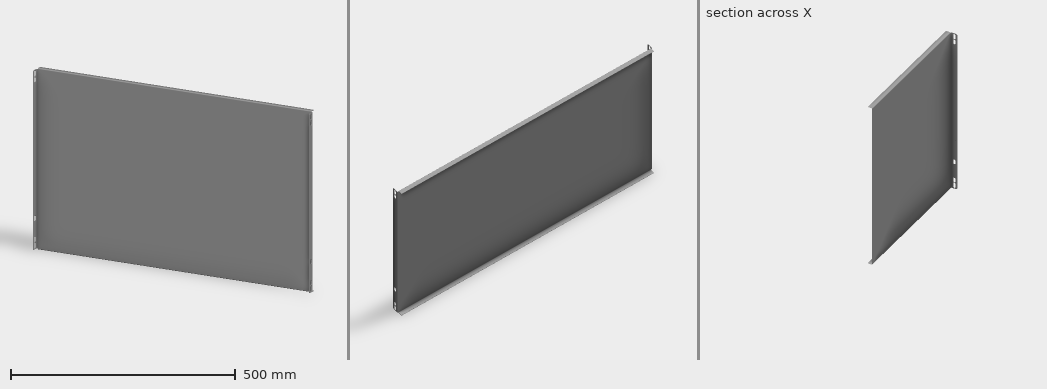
import cadquery as cq

width = 706.0
depth = 27.0
height = 420.0

sheet = 1.05
bend_radius = 2.0
side_flange_depth = 16.0
side_flange_inset = 2.0
rear_flange_inset = 3.5
tip_chamfer = 2.0

slot_setback = 7.0
end_slot_length = 14.0
short_slot_length = 12.0
slot_width = 6.5
end_slot_z = 199.0
inner_slot_z = 185.0
middle_slot_z = -136.0

front_y = -depth / 2
rear_y = depth / 2
panel_rear_y = front_y + side_flange_depth
panel_front_y = panel_rear_y - sheet


def bent_block(span, leg, length, radius):
    """Block centred on the origin, its two front edges along Z rounded."""
    return cq.Workplane("XY").box(span, leg, length).edges("|Z and <Y").fillet(radius)


def channel(span, leg, length):
    """Bent U-channel along Z: web at the front, both flanges pointing to +Y."""
    outer = bent_block(span, leg, length, bend_radius)
    inner = bent_block(span - 2 * sheet, leg, length, bend_radius - sheet)
    return outer.cut(inner.translate((0, sheet, 0))).translate((0, leg / 2, 0))


def flange_slot(length, z):
    """Vertical round-ended cutter through both side flanges."""
    return (
        cq.Workplane("YZ")
        .center(front_y + slot_setback, z)
        .slot2D(length, slot_width, 90)
        .extrude(width, both=True)
    )


side_channel = (
    channel(width, side_flange_depth, height - 2 * side_flange_inset)
    .faces(">Y")
    .edges("|X and (>Z or <Z)")
    .chamfer(tip_chamfer)
    .rotate((0, 0, 0), (0, 0, 1), 180)
    .translate((0, panel_rear_y, 0))
)

end_channel = (
    channel(height, rear_y - panel_front_y, width - 2 * rear_flange_inset)
    .rotate((0, 0, 0), (0, 1, 0), 90)
    .translate((0, panel_front_y, 0))
)

result = side_channel.union(end_channel)

for side in (-1, 1):
    result = result.cut(flange_slot(end_slot_length, side * end_slot_z))
    result = result.cut(flange_slot(short_slot_length, side * inner_slot_z))
result = result.cut(flange_slot(short_slot_length, middle_slot_z))